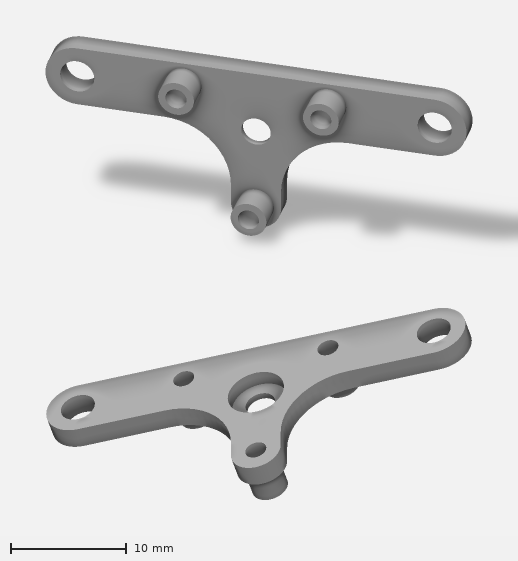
import cadquery as cq

length = 37.7
bar_height = 5.7
total_height = 15.6
thickness = 2.0
stem_width = 4.5
corner_radius = 6.0

boss_height = 2.5
boss_diameter = 3.2
boss_bore = 1.9
upper_boss_x = 6.5
upper_boss_z = 0.75

end_hole_diameter = 3.05
center_hole_diameter = 2.65
center_hole_z = -3.0
counterbore_diameter = 5.05
counterbore_depth = 1.4

bar_radius = bar_height / 2
end_x = length / 2 - bar_radius
stem_half = stem_width / 2
stem_end_z = bar_radius - total_height + stem_half
boss_centers = [(-upper_boss_x, upper_boss_z), (upper_boss_x, upper_boss_z), (0, stem_end_z)]


def cylinders(centers, diameter, start_y, end_y):
    """Cylinders along Y at the given (x, z) centers."""
    plane = cq.Workplane("XZ", origin=(0, start_y, 0))
    return plane.pushPoints(centers).circle(diameter / 2).extrude(start_y - end_y)


def make_plate():
    """T-shaped plate with round ends and concave corners beside the stem."""
    corner_x = stem_half + corner_radius
    corner_z = -bar_radius - corner_radius
    arc_offset = corner_radius * 0.5 ** 0.5
    arc_mid_x = corner_x - arc_offset
    arc_mid_z = corner_z + arc_offset
    return (
        cq.Workplane("XZ", origin=(0, thickness, 0))
        .moveTo(-end_x, bar_radius)
        .lineTo(end_x, bar_radius)
        .threePointArc((length / 2, 0), (end_x, -bar_radius))
        .lineTo(corner_x, -bar_radius)
        .threePointArc((arc_mid_x, arc_mid_z), (stem_half, corner_z))
        .lineTo(stem_half, stem_end_z)
        .threePointArc((0, stem_end_z - stem_half), (-stem_half, stem_end_z))
        .lineTo(-stem_half, corner_z)
        .threePointArc((-arc_mid_x, arc_mid_z), (-corner_x, -bar_radius))
        .lineTo(-end_x, -bar_radius)
        .threePointArc((-length / 2, 0), (-end_x, bar_radius))
        .close()
        .extrude(thickness)
    )


bosses = cylinders(boss_centers, boss_diameter, thickness, -boss_height)
boss_bores = cylinders(boss_centers, boss_bore, thickness, -boss_height)
end_holes = cylinders([(-end_x, 0), (end_x, 0)], end_hole_diameter, thickness, 0)
center_hole = cylinders([(0, center_hole_z)], center_hole_diameter, thickness, 0)
counterbore = cylinders(
    [(0, center_hole_z)], counterbore_diameter, thickness, thickness - counterbore_depth
)

result = make_plate().union(bosses)
for opening in (boss_bores, end_holes, center_hole, counterbore):
    result = result.cut(opening)